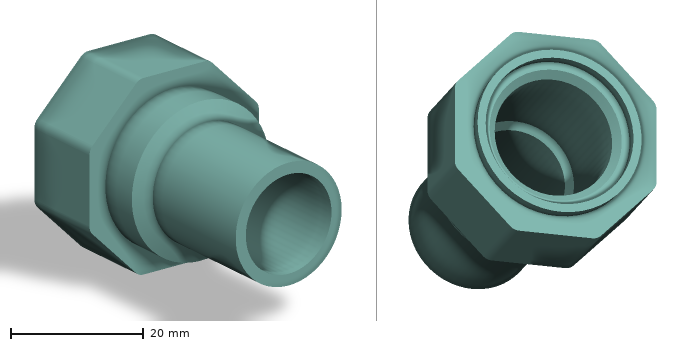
import cadquery as cq
import math

total_length = 45
nut_start = 2.0
nut_length = 14.0
body_end = 22.7
shoulder_end = 24.0

nut_sides = 8
across_flats = 32.0
nut_corner_radius = 2.0
body_diameter = 26.0
spigot_diameter = 20.02

recess_diameter = 23.45
recess_depth = 2.0
seat_diameter = 20.95
throat_diameter = 18.65
bore_diameter = 16.2
seat_cone_depth = 1.15
throat_end = body_end
throat_cone_depth = 0.7


def revolve_about_x(points):
    """Revolve a closed (x, radius) outline about the X axis."""
    return cq.Workplane("XY").polyline(points).close().revolve(360, (0, 0, 0), (1, 0, 0))


def make_body():
    """Round collar and body, conical shoulder and spigot."""
    return revolve_about_x([
        (0, 0),
        (0, body_diameter / 2),
        (body_end, body_diameter / 2),
        (shoulder_end, spigot_diameter / 2),
        (total_length, spigot_diameter / 2),
        (total_length, 0),
    ])


def make_nut():
    """Octagonal wrench section with flats facing Y and Z and rounded corners."""
    half_side_angle = 180 / nut_sides
    across_corners = across_flats / math.cos(math.pi / nut_sides)
    return (
        cq.Workplane("YZ", origin=(nut_start, 0, 0))
        .transformed(rotate=(0, 0, half_side_angle))
        .polygon(nut_sides, across_corners)
        .extrude(nut_length)
        .edges("|X")
        .fillet(nut_corner_radius)
    )


def make_bore():
    """Recess with a flat seat, a cone into the throat, and a shallow cone into the bore."""
    seat_cone_end = recess_depth + seat_cone_depth
    throat_cone_end = throat_end + throat_cone_depth
    return revolve_about_x([
        (0, 0),
        (0, recess_diameter / 2),
        (recess_depth, recess_diameter / 2),
        (recess_depth, seat_diameter / 2),
        (seat_cone_end, throat_diameter / 2),
        (throat_end, throat_diameter / 2),
        (throat_cone_end, bore_diameter / 2),
        (total_length, bore_diameter / 2),
        (total_length, 0),
    ])


result = make_body().union(make_nut()).cut(make_bore())